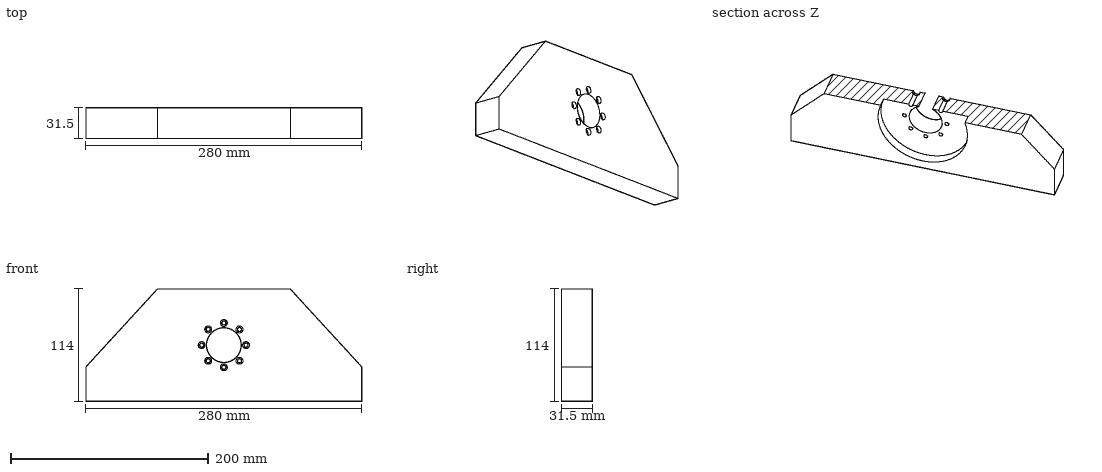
import cadquery as cq

plate_length = 280.0
plate_thickness = 31.5
plate_height = 114.0
top_edge_length = 135.0
end_height = 35.0

bore_diameter = 35.0
bore_height = plate_height / 2

recess_diameter = 95.0
recess_depth = 10.0

screw_count = 8
screw_circle_diameter = 45.0
screw_hole_diameter = 4.0
screw_head_diameter = 7.0
screw_head_depth = 4.0


def make_plate():
    """Plate with its front face on Y = 0 and its lower edge on Z = 0."""
    half_length = plate_length / 2
    half_top = top_edge_length / 2
    outline = [
        (-half_length, 0),
        (half_length, 0),
        (half_length, end_height),
        (half_top, plate_height),
        (-half_top, plate_height),
        (-half_length, end_height),
    ]
    return cq.Workplane("XZ").polyline(outline).close().extrude(-plate_thickness)


def bore_center(plate):
    """Workplane on the front face, centred on the bore axis."""
    return plate.faces("<Y").workplane(origin=(0, 0, bore_height))


def cut_bore(plate):
    return bore_center(plate).hole(bore_diameter)


def cut_recess(plate):
    rear_face = plate.faces(">Y").workplane(origin=(0, plate_thickness, bore_height))
    return rear_face.circle(recess_diameter / 2).cutBlind(-recess_depth)


def cut_screw_holes(plate):
    screw_circle = bore_center(plate).polarArray(screw_circle_diameter / 2, 0, 360, screw_count)
    return screw_circle.cboreHole(screw_hole_diameter, screw_head_diameter, screw_head_depth)


plate = make_plate()
bored_plate = cut_bore(plate)
recessed_plate = cut_recess(bored_plate)
result = cut_screw_holes(recessed_plate)